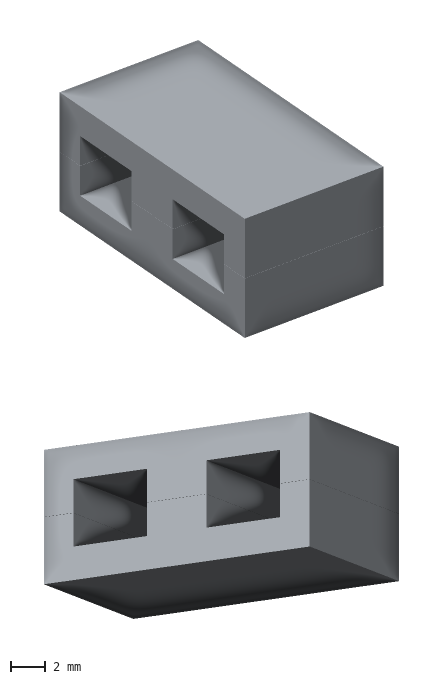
import cadquery as cq

core_length = 18.0
core_depth = 10.0
core_height = 4.0
back_thickness = 2.0
outer_leg_width = 2.0
centre_leg_width = 4.0
air_gap = 0.01

window_width = (core_length - centre_leg_width) / 2 - outer_leg_width
window_height = core_height - back_thickness
window_offset = (centre_leg_width + window_width) / 2


def e_core():
    """E-shaped core half, legs pointing down, with the leg ends half an air gap above Z = 0."""
    block = cq.Workplane("XY").box(core_length, core_depth, core_height, centered=(True, True, False))
    windows = (
        cq.Workplane("XY")
        .pushPoints([(-window_offset, 0), (window_offset, 0)])
        .box(window_width, core_depth, window_height, centered=(True, True, False))
    )
    return block.cut(windows).translate((0, 0, air_gap / 2))


upper_core = e_core()
lower_core = e_core().mirror("XY")

result = cq.Compound.makeCompound([upper_core.val(), lower_core.val()])